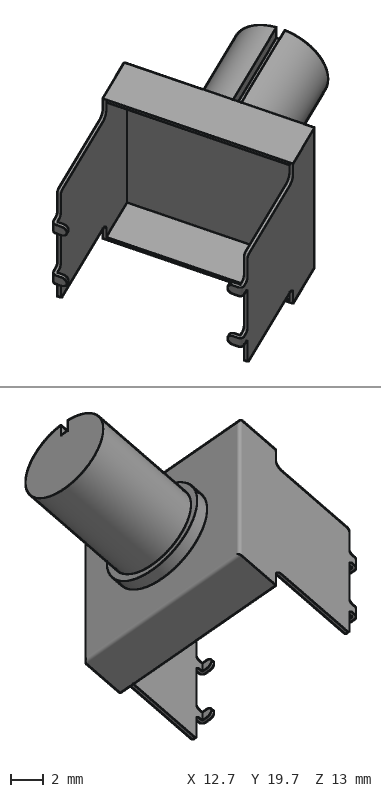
import cadquery as cq

overall_length = 19.66

housing_width = 12.7
housing_height = 13.0
housing_depth = 3.3
wall = 0.25
front_edge_radius = 0.22

bushing_diameter = 7.366
bushing_length = 0.9
shaft_diameter = 6.35
shaft_length = 8.0
slot_width = 0.56
slot_length = 7.3
slot_depth = 1.0

plate_height = 9.95
plate_length = 6.7
plate_root_radius = 0.5
plate_corner_radius = 0.25

tab_width = 0.8
tab_spacing = 4.7
tab_root_radius = 0.25
foot_length = 1.0
bend_radius = 0.25

housing_rear = -housing_depth
plate_rear = housing_rear - plate_length
shaft_end = bushing_length + shaft_length
tab_rear = shaft_end - overall_length

housing_side = housing_width / 2


def y_cylinder(diameter, start, end):
    """Cylinder along the Y axis between two Y positions."""
    circle = cq.Workplane("XZ", origin=(0, start, 0)).circle(diameter / 2)
    return circle.extrude(start - end)


def make_housing():
    """Box with rounded +Y edges, hollowed from the -Y side."""
    outer = (
        cq.Workplane("XY")
        .box(housing_width, housing_depth, housing_height)
        .translate((0, -housing_depth / 2, 0))
        .faces(">Y").edges().fillet(front_edge_radius)
    )
    cavity = (
        cq.Workplane("XY")
        .box(housing_width - 2 * wall, housing_depth, housing_height - 2 * wall)
        .translate((0, -wall - housing_depth / 2, 0))
    )
    return outer.cut(cavity)


def make_shaft():
    """Bushing and slotted shaft; the bushing reaches into the wall so that the two join."""
    bushing = y_cylinder(bushing_diameter, -wall / 2, bushing_length)
    shaft = y_cylinder(shaft_diameter, 0, shaft_end)
    slot = (
        cq.Workplane("XY")
        .box(slot_width, slot_length, shaft_diameter)
        .translate((0, shaft_end - slot_length / 2, shaft_diameter - slot_depth))
    )
    return bushing.union(shaft).cut(slot)


def root_fillet(y, z, z_side, radius):
    """Wall-thick rounding of the inner corner at (y, z), spreading towards -Y and z_side."""
    return (
        cq.Workplane("YZ")
        .moveTo(y, z)
        .lineTo(y, z + z_side * radius)
        .radiusArc((y - radius, z), z_side * radius)
        .close()
        .extrude(wall)
    )


def make_plate():
    """Flat side plate with its two solder tabs, the plate itself lying between X = 0 and X = wall."""
    plate = (
        cq.Workplane("YZ")
        .center((housing_rear + plate_rear) / 2, 0)
        .rect(plate_length, plate_height)
        .extrude(wall)
        .edges("|X and <Y").fillet(plate_corner_radius)
    )
    for z_side in (-1, 1):
        plate_edge_z = z_side * plate_height / 2
        plate = plate.union(root_fillet(housing_rear, plate_edge_z, z_side, plate_root_radius))
        tab_z = z_side * tab_spacing / 2
        plate = plate.union(make_tab(tab_z))
        for edge_side in (-1, 1):
            edge_z = tab_z + edge_side * tab_width / 2
            plate = plate.union(root_fillet(plate_rear, edge_z, edge_side, tab_root_radius))
    return plate


def make_tab(tab_z):
    """Neck and inward foot of one tab; the foot has a full-round tip."""
    neck_length = plate_rear - tab_rear
    neck = (
        cq.Workplane("XY")
        .box(wall, neck_length, tab_width, centered=(False, False, True))
        .translate((0, tab_rear, tab_z))
    )
    tip_radius = tab_width / 2
    foot = (
        cq.Workplane("XZ", origin=(0, tab_rear, tab_z))
        .moveTo(0, -tip_radius)
        .lineTo(foot_length - tip_radius, -tip_radius)
        .threePointArc((foot_length, 0), (foot_length - tip_radius, tip_radius))
        .lineTo(0, tip_radius)
        .close()
        .extrude(-wall)
    )
    return neck.union(foot).edges("|Z and <X and <Y").fillet(bend_radius)


left_plate = make_plate().translate((-housing_side, 0, 0))
right_plate = left_plate.mirror("YZ")

result = make_housing().union(make_shaft()).union(left_plate).union(right_plate)